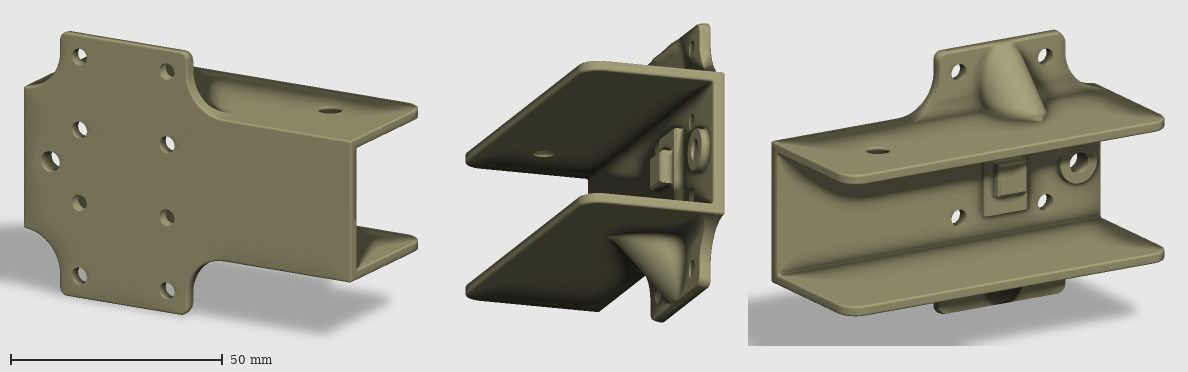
import cadquery as cq
import math

length = 90.0
channel_size = 35.0
web_thickness = 3.0
flange_thickness = 2.5
flange_corner_radius = 5.0
inner_corner_radius = 0.5
edge_break = 0.5

overall_height = 65.0
tab_width = 35.0
scoop_radius = 10.0
tab_corner_radius = 2.0
tab_root_radius = 3.0
tab_end_radius = 5.0

gusset_width = 13.1
gusset_run_out_radius = 6.5
gusset_foot_radius = 1.0

screw_hole_diameter = 4.1
screw_spacing_x = 24.0
screw_spacing_z = 18.0
pin_hole_diameter = 5.1
pin_hole_x = 7.5
flange_hole_diameter = 5.1
flange_hole_x = 72.5
flange_hole_y = 20.0
flange_hole_chamfer = 0.45

disc_diameter = 10.0
boss_height = 2.1
bar_span = 18.2
bar_width = 12.0
block_size = 8.0
block_height = 5.0

half_channel = channel_size / 2
half_height = overall_height / 2
tab_reach = half_height - half_channel
tab_center_x = scoop_radius + tab_width / 2
turn_tangent = math.tan(math.radians(22.5))
slope_foot_y = web_thickness + tab_reach
run_out_y = slope_foot_y + gusset_run_out_radius * turn_tangent
overlap = 0.9


def arc_point(center, radius, degrees):
    angle = math.radians(degrees)
    return (center[0] + radius * math.cos(angle), center[1] + radius * math.sin(angle))


def channel():
    outer = cq.Workplane("XY").box(length, channel_size, channel_size, centered=(False, False, True))
    outer = outer.edges("|Z and >Y").fillet(flange_corner_radius)
    cavity = (
        cq.Workplane("XY")
        .box(length, channel_size, channel_size - 2 * flange_thickness, centered=(False, False, True))
        .edges("|X and <Y")
        .fillet(inner_corner_radius)
        .translate((0, web_thickness, 0))
    )
    return outer.cut(cavity).faces("<X or >X or <Y").edges().fillet(edge_break)


def tab_outline():
    """Upper tab seen along Y: straight end and scooped sides."""
    left = scoop_radius
    right = left + tab_width
    foot = half_channel
    shoulder = foot + scoop_radius
    left_center = (left - scoop_radius, shoulder)
    right_center = (right + scoop_radius, shoulder)
    return (
        cq.Workplane("XZ")
        .moveTo(0, foot)
        .threePointArc(arc_point(left_center, scoop_radius, -45), (left, shoulder))
        .lineTo(left, half_height)
        .lineTo(right, half_height)
        .lineTo(right, shoulder)
        .threePointArc(arc_point(right_center, scoop_radius, 225), (right + scoop_radius, foot))
        .lineTo(right + scoop_radius, foot - overlap)
        .lineTo(0, foot - overlap)
        .close()
        .extrude(-channel_size)
    )


def wedge():
    """Triangle filling the corner behind the tab: rounded tab end, then a 45 degree slope."""
    foot = half_channel - overlap
    end_center = (web_thickness - tab_end_radius * turn_tangent, half_height - tab_end_radius)
    profile = (
        cq.Workplane("YZ")
        .moveTo(0, foot)
        .lineTo(0, half_height)
        .lineTo(end_center[0], half_height)
        .threePointArc(
            arc_point(end_center, tab_end_radius, 67.5),
            arc_point(end_center, tab_end_radius, 45),
        )
        .lineTo(slope_foot_y + overlap, foot)
        .close()
    )
    return profile.extrude(length)


def tab():
    foot = half_channel - overlap
    root_center = (web_thickness + tab_root_radius, half_channel + tab_root_radius)
    slab = (
        cq.Workplane("YZ")
        .workplane(offset=edge_break)
        .moveTo(0, foot)
        .lineTo(0, half_height)
        .lineTo(web_thickness, half_height)
        .lineTo(web_thickness, root_center[1])
        .threePointArc(arc_point(root_center, tab_root_radius, 225), (root_center[0], half_channel))
        .lineTo(root_center[0], foot)
        .close()
        .extrude(length)
    )
    plate = slab.intersect(wedge()).intersect(tab_outline())
    plate = plate.edges("|Y and >Z").fillet(tab_corner_radius)
    return plate.faces("<Y").edges(">Z").fillet(edge_break)


def ridge_section():
    """Round-topped section square to the slope, where the run-out arc begins."""
    run_out_center = (run_out_y, half_channel + gusset_run_out_radius)
    crest = arc_point(run_out_center, gusset_run_out_radius, 225)
    half_width = gusset_width / 2
    return (
        cq.Workplane(cq.Plane(origin=(tab_center_x, *crest), xDir=(1, 0, 0), normal=(0, -1, 1)))
        .moveTo(-half_width, -half_width)
        .threePointArc((0, 0), (half_width, -half_width))
        .lineTo(half_width, -tab_reach)
        .lineTo(-half_width, -tab_reach)
        .close()
    )


def gusset():
    ridge = ridge_section().extrude(2 * tab_reach, both=True)
    return ridge.intersect(wedge()).faces("<Y").edges(">Z").fillet(edge_break)


def gusset_run_out():
    """Tail of the gusset curving down until its crest is flush with the flange."""
    axis_start = (-0.9, gusset_run_out_radius, 0)
    axis_end = (0.9, gusset_run_out_radius, 0)
    bend = ridge_section().revolve(45, axis_start, axis_end)
    above_flange = (
        cq.Workplane("XY")
        .workplane(offset=half_channel - overlap)
        .rect(2 * length, 2 * run_out_y)
        .extrude(half_height)
    )
    return bend.intersect(above_flange)


def tab_with_gusset(body):
    body = body.union(tab().union(gusset()))
    foot_edge = cq.selectors.BoxSelector(
        (tab_center_x - overlap, web_thickness, half_channel - overlap),
        (tab_center_x + overlap, slope_foot_y + overlap, half_channel + overlap),
    )
    body = body.edges(foot_edge).fillet(gusset_foot_radius)
    return body.union(gusset_run_out())


def edges_at_height(y, x, width):
    """Edges lying at one height above the web within a strip centred on x."""
    reach = width / 2 + edge_break / 2
    return cq.selectors.BoxSelector(
        (x - reach, y - edge_break / 2, -reach),
        (x + reach, y + edge_break / 2, reach),
    )


def add_inner_bosses(body):
    """Disc around the pin hole, and a crossbar with a square block, on the inner face of the web."""
    base = cq.Workplane("XZ", origin=(0, web_thickness - overlap, 0))
    disc = base.center(pin_hole_x, 0).circle(disc_diameter / 2).extrude(-boss_height - overlap)

    bar_base = base.center(tab_center_x, 0)
    bar = bar_base.rect(bar_width, bar_span).extrude(-boss_height - overlap)
    bar = bar.faces(">Y").edges("|Z").chamfer(edge_break)
    block = bar_base.rect(block_size, block_size).extrude(-block_height - overlap)
    block = block.faces(">Y").edges().chamfer(edge_break)

    body = body.union(disc).union(bar.union(block))
    body = body.edges(edges_at_height(web_thickness, pin_hole_x, disc_diameter)).fillet(edge_break)
    body = body.edges(edges_at_height(web_thickness, tab_center_x, bar_width)).edges("|Z").fillet(edge_break)
    return body.edges(edges_at_height(web_thickness + boss_height, tab_center_x, block_size)).fillet(edge_break)


def cylinder_along_y(x, z, diameter):
    return cq.Workplane("XZ", origin=(x, 0, z)).circle(diameter / 2).extrude(-channel_size)


def web_holes():
    holes = cylinder_along_y(pin_hole_x, 0, pin_hole_diameter)
    for column in (-0.5, 0.5):
        for row in (-1.5, -0.5, 0.5, 1.5):
            x = tab_center_x + column * screw_spacing_x
            z = row * screw_spacing_z
            holes = holes.union(cylinder_along_y(x, z, screw_hole_diameter))
    return holes


def flange_hole():
    """Hole through the upper flange only, with its outer rim chamfered."""
    radius = flange_hole_diameter / 2
    profile = (
        cq.Workplane("XZ", origin=(flange_hole_x, flange_hole_y, half_channel))
        .moveTo(0, 0)
        .lineTo(radius + flange_hole_chamfer, 0)
        .lineTo(radius, -flange_hole_chamfer)
        .lineTo(radius, -flange_thickness - overlap)
        .lineTo(0, -flange_thickness - overlap)
        .close()
    )
    return profile.revolve(360, (0, 0, 0), (0, 1, 0))


upper_side = tab_with_gusset(channel())
lower_side = upper_side.mirror("XY")
body = add_inner_bosses(upper_side.union(lower_side))
result = body.cut(web_holes()).cut(flange_hole())